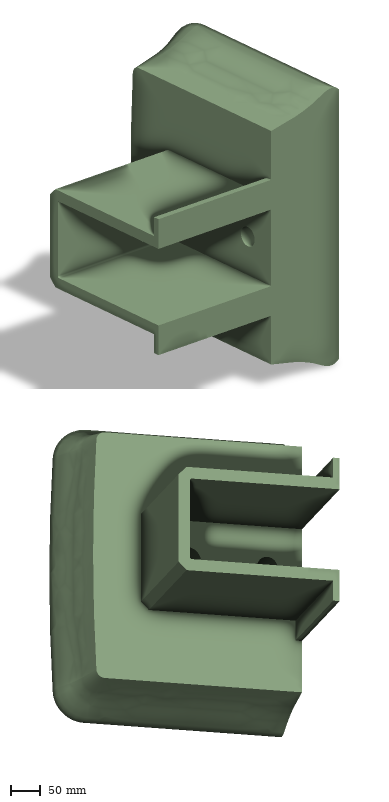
import cadquery as cq
import math


cushion_width = 403.5
cushion_height = 510.5
cushion_depth = 150.0
side_bulge_radius = 3574.5
corner_radius = 55.0
back_edge_inset = 7.0
back_edge_depth = 17.0
front_inset = 40.5
front_slope = 0.2
flare_points = [(3.5, 32.0), (14.5, 53.5), (22.0, 72.5)]
trim_margin = 30.5

cushion_holes = [(200.0, 50.0), (60.0, 35.0)]

total_depth = 400.0
bracket_length = total_depth - cushion_depth
bracket_width = 280.0
bracket_height = 181.0
bracket_wall = 20.0
bracket_chamfer = 14.0
inner_corner_radius = 3.0
flange_height = 250.0
flange_thickness = 11.0

half_height = cushion_height / 2


def rim_path():
    """Widest outline in the XZ plane: top edge, corner, bulged side, corner, bottom edge."""
    bulge_x = side_bulge_radius - cushion_width
    corner_z = half_height - corner_radius
    centre_distance = side_bulge_radius - corner_radius
    corner_x = bulge_x - math.sqrt(centre_distance**2 - corner_z**2)

    tilt = math.asin(corner_z / centre_distance)
    side_x = bulge_x - side_bulge_radius * math.cos(tilt)
    side_z = side_bulge_radius * math.sin(tilt)
    mid_angle = (tilt + math.pi / 2) / 2
    mid_x = corner_x - corner_radius * math.cos(mid_angle)
    mid_z = corner_z + corner_radius * math.sin(mid_angle)

    return (
        cq.Workplane("XZ")
        .moveTo(0, half_height)
        .lineTo(corner_x, half_height)
        .threePointArc((mid_x, mid_z), (side_x, side_z))
        .threePointArc((-cushion_width, 0), (side_x, -side_z))
        .threePointArc((mid_x, -mid_z), (corner_x, -half_height))
        .lineTo(0, -half_height)
    )


def rim_trim():
    """Material outside the flared rim, swept round the outline."""
    def rim_point(inset, depth):
        return (-depth, half_height - inset)

    edge_radius = (back_edge_inset**2 + back_edge_depth**2) / (2 * back_edge_inset)
    edge_half_angle = math.asin(back_edge_depth / edge_radius) / 2
    edge_mid_inset = edge_radius * (1 - math.cos(edge_half_angle))
    edge_mid_depth = back_edge_depth - edge_radius * math.sin(edge_half_angle)

    outer_z = half_height + trim_margin
    flare = [rim_point(*point) for point in flare_points]
    flare.append(rim_point(front_inset, cushion_depth))
    profile = (
        cq.Workplane("YZ")
        .moveTo(*rim_point(back_edge_inset, 0))
        .threePointArc(
            rim_point(edge_mid_inset, edge_mid_depth),
            rim_point(0, back_edge_depth),
        )
        .spline(flare, tangents=[(-1, 0), (-1, -front_slope)], includeCurrent=True)
        .lineTo(-cushion_depth, outer_z)
        .lineTo(0, outer_z)
        .close()
    )
    return profile.sweep(rim_path())


def make_cushion():
    block = (
        cq.Workplane("XZ")
        .center(-cushion_width / 2, 0)
        .rect(cushion_width, cushion_height)
        .extrude(cushion_depth)
    )
    cushion = block.cut(rim_trim())
    for end_distance, diameter in cushion_holes:
        hole = cq.Workplane("XZ").center(-end_distance, 0).circle(diameter / 2).extrude(cushion_depth)
        cushion = cushion.cut(hole)
    return cushion


def bracket_block(width, height):
    """Block reaching from the cut end, as long as the bracket and standing on the cushion."""
    return (
        cq.Workplane("XZ", origin=(0, -cushion_depth, 0))
        .center(-width / 2, 0)
        .rect(width, height)
        .extrude(bracket_length)
    )


def make_bracket():
    channel = bracket_block(bracket_width, bracket_height).edges("|Y and <X").chamfer(bracket_chamfer)
    flanges = bracket_block(flange_thickness, flange_height)
    cavity = bracket_block(bracket_width - bracket_wall, bracket_height - 2 * bracket_wall)
    cavity = cavity.edges("|Y and <X").fillet(inner_corner_radius)
    return channel.union(flanges).cut(cavity)


cushion = make_cushion().solids()
bracket = make_bracket().solids()
result = cq.Compound.makeCompound([cushion.val(), bracket.val()])